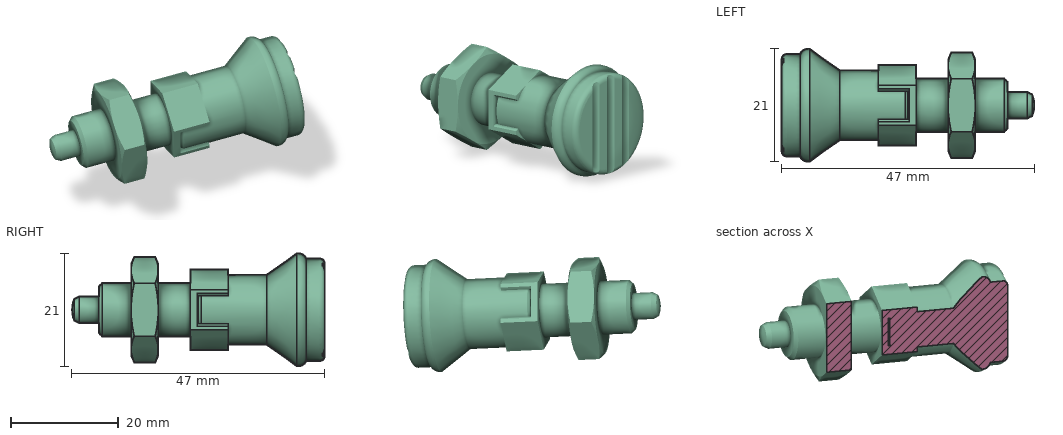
import cadquery as cq
import math

length = 47.0

pin_radius = 2.5
pin_tip_radius = 2.0
pin_dome_height = 0.4
pin_taper_end = 1.35

body_start = 5.0
body_radius = 5.0
body_chamfer = 0.65

nut_start = 11.0
nut_thickness = 5.05
nut_across_flats = 17.0
nut_chamfer_length = 0.55

collar_start = 22.0
collar_end = 29.0
sleeve_radius = 13.0 / 2
collar_across_flats = 2 * sleeve_radius
notch_start = 23.25
notch_outer_width = 6.05
notch_inner_width = 5.2
notch_depth = 0.55

sleeve_start = 23.5
sleeve_chamfer = 0.5
flare_start = 36.2
rim_start = 41.8
rim_round_start = 42.05
rim_end = 43.5
rim_radius = 21.0 / 2
cap_radius = 9.55
cap_fillet = 1.05

groove_count = 3
groove_spacing = 4.0
groove_width = 1.95
groove_depth = 0.45


def hexagon(across_flats, start, thickness):
    """Hexagonal prism along +Y with flats facing +X and -X."""
    corner_diameter = across_flats / math.cos(math.radians(30))
    prism = cq.Workplane("XY").polygon(6, corner_diameter).extrude(thickness)
    return (
        prism.rotate((0, 0, 0), (0, 0, 1), 30)
        .rotate((0, 0, 0), (1, 0, 0), -90)
        .translate((0, start, 0))
    )


def revolve_about_y(profile):
    return profile.close().revolve(360, (0, 0, 0), (0, 1, 0))


def make_pin_and_body():
    dome_radius = (pin_tip_radius**2 + pin_dome_height**2) / (2 * pin_dome_height)
    half_angle = math.asin(pin_tip_radius / dome_radius) / 2
    dome_middle = (
        dome_radius * math.sin(half_angle),
        dome_radius * (1 - math.cos(half_angle)),
    )
    return revolve_about_y(
        cq.Workplane("XY")
        .moveTo(0, 0)
        .threePointArc(dome_middle, (pin_tip_radius, pin_dome_height))
        .lineTo(pin_radius, pin_taper_end)
        .lineTo(pin_radius, body_start)
        .lineTo(body_radius - body_chamfer, body_start)
        .lineTo(body_radius, body_start + body_chamfer)
        .lineTo(body_radius, sleeve_start)
        .lineTo(0, sleeve_start)
    )


def make_nut():
    flat_radius = nut_across_flats / 2
    corner_radius = flat_radius / math.cos(math.radians(30))
    nut_end = nut_start + nut_thickness
    corner_trim = revolve_about_y(
        cq.Workplane("XY")
        .moveTo(0, nut_start)
        .lineTo(flat_radius, nut_start)
        .lineTo(corner_radius, nut_start + nut_chamfer_length)
        .lineTo(corner_radius, nut_end - nut_chamfer_length)
        .lineTo(flat_radius, nut_end)
        .lineTo(0, nut_end)
    )
    return hexagon(nut_across_flats, nut_start, nut_thickness).intersect(corner_trim)


def make_collar():
    collar = hexagon(collar_across_flats, collar_start, collar_end - collar_start)
    floor_x = body_radius
    step_x = sleeve_radius - notch_depth
    notch = (
        cq.Workplane("XZ", origin=(0, notch_start, 0))
        .polyline([
            (floor_x, -notch_inner_width / 2),
            (step_x, -notch_inner_width / 2),
            (sleeve_radius, -notch_outer_width / 2),
            (sleeve_radius, notch_outer_width / 2),
            (step_x, notch_inner_width / 2),
            (floor_x, notch_inner_width / 2),
        ])
        .close()
        .extrude(-(collar_end - notch_start))
    )
    return collar.cut(notch).cut(notch.mirror("YZ"))


def make_knob():
    rim_height = rim_end - rim_round_start
    rim_step = rim_radius - cap_radius
    round_radius = (rim_height**2 + rim_step**2) / (2 * rim_step)
    half_angle = math.asin(rim_height / round_radius) / 2
    round_middle = (
        rim_radius - round_radius * (1 - math.cos(half_angle)),
        rim_round_start + round_radius * math.sin(half_angle),
    )
    knob = revolve_about_y(
        cq.Workplane("XY")
        .moveTo(0, sleeve_start)
        .lineTo(sleeve_radius - sleeve_chamfer, sleeve_start)
        .lineTo(sleeve_radius, sleeve_start + sleeve_chamfer)
        .lineTo(sleeve_radius, flare_start)
        .lineTo(rim_radius, rim_start)
        .lineTo(rim_radius, rim_round_start)
        .threePointArc(round_middle, (cap_radius, rim_end))
        .lineTo(cap_radius, length)
        .lineTo(0, length)
    )
    return knob.faces(">Y").edges().fillet(cap_fillet)


def make_end_grooves():
    """Parallel round-bottomed cutters running along Z."""
    groove_radius = ((groove_width / 2) ** 2 + groove_depth**2) / (2 * groove_depth)
    axis_y = length - groove_depth + groove_radius
    first_x = -groove_spacing * (groove_count - 1) / 2
    centres = [(first_x + i * groove_spacing, axis_y) for i in range(groove_count)]
    return cq.Workplane("XY").pushPoints(centres).circle(groove_radius).extrude(cap_radius, both=True)


result = (
    make_pin_and_body()
    .union(make_nut())
    .union(make_collar())
    .union(make_knob().cut(make_end_grooves()))
)